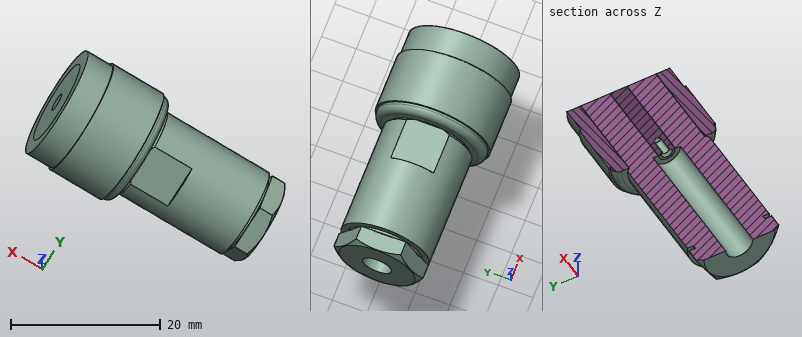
import cadquery as cq
import math


total_length = 32.55
hex_end = 2.5
barrel_start = 2.95
flat_start = 13.15
sleeve_start = 19.45
grip_start = 20.75
grip_end = 28.7

across_flats = 11.1
hex_face_radius = 5.47
hex_chamfer_angle = 30.0
neck_radius = 5.4
barrel_radius = 6.35
barrel_chamfer = 0.45
journal_radius = barrel_radius - barrel_chamfer
cable_bore_radius = 2.08

grip_diameter = 16.5
sleeve_radius = 7.97
sleeve_fillet = 0.98

contact_radius = 1.27
contact_start = sleeve_start
cup_radius = 0.52
cup_chamfer = 0.35
cup_depth = 2.6
cup_tip_angle = 118.0


def cylinder(start, end, radius):
    """Solid cylinder on the X axis between two stations."""
    return cq.Workplane("YZ", origin=(start, 0, 0)).circle(radius).extrude(end - start)


def revolve_about_x(points):
    """Turn a closed outline of (x, radius) points about the X axis."""
    return cq.Workplane("XY").polyline(points).close().revolve(360, (0, 0, 0), (1, 0, 0))


def make_hexagon():
    """Hexagon with two faces square to Z and its outer corners chamfered."""
    corner_radius = across_flats / 2 / math.cos(math.radians(30))
    chamfer_length = (corner_radius - hex_face_radius) * math.tan(math.radians(hex_chamfer_angle))
    prism = cq.Workplane("YZ").polygon(6, 2 * corner_radius).extrude(hex_end)
    turned_envelope = revolve_about_x([
        (0, 0),
        (0, hex_face_radius),
        (chamfer_length, corner_radius),
        (hex_end, corner_radius),
        (hex_end, 0),
    ])
    return prism.intersect(turned_envelope)


def make_barrel():
    """Round barrel with a front chamfer and two opposite wrench flats."""
    barrel = cylinder(barrel_start, sleeve_start, barrel_radius).faces(">X").chamfer(barrel_chamfer)
    flat_length = sleeve_start - flat_start
    cut_height = barrel_radius - across_flats / 2
    for side in (1, -1):
        cutter = cq.Workplane("XY").box(flat_length, 2 * barrel_radius, cut_height)
        cutter = cutter.translate((
            flat_start + flat_length / 2,
            0,
            side * (across_flats + cut_height) / 2,
        ))
        barrel = barrel.cut(cutter)
    return barrel


def make_housing():
    """Hexagon, neck, barrel and journal, bored for the cable and the contact."""
    neck = cylinder(hex_end, barrel_start, neck_radius)
    journal = cylinder(sleeve_start, total_length, journal_radius)
    housing = make_hexagon().union(neck).union(make_barrel()).union(journal)
    cable_bore = cylinder(0, contact_start, cable_bore_radius)
    contact_hole = cylinder(contact_start, total_length, contact_radius)
    return housing.cut(cable_bore).cut(contact_hole)


def make_sleeve():
    """Coupling sleeve with a raised grip band and a rounded rear edge."""
    sleeve = cylinder(sleeve_start, total_length, sleeve_radius).faces("<X").edges().fillet(sleeve_fillet)
    grip = cylinder(grip_start, grip_end, grip_diameter / 2)
    return sleeve.union(grip).cut(cylinder(sleeve_start, total_length, journal_radius))


def make_contact():
    """Centre contact with a chamfered, conically ended cup in its rear face."""
    tip_length = cup_radius / math.tan(math.radians(cup_tip_angle / 2))
    cup_end = contact_start + cup_depth
    cup = revolve_about_x([
        (contact_start, 0),
        (contact_start, cup_radius + cup_chamfer),
        (contact_start + cup_chamfer, cup_radius),
        (cup_end, cup_radius),
        (cup_end + tip_length, 0),
    ])
    return cylinder(contact_start, total_length, contact_radius).cut(cup)


housing = make_housing().solids()
sleeve = make_sleeve().solids()
contact = make_contact().solids()

result = cq.Compound.makeCompound([housing.val(), sleeve.val(), contact.val()])